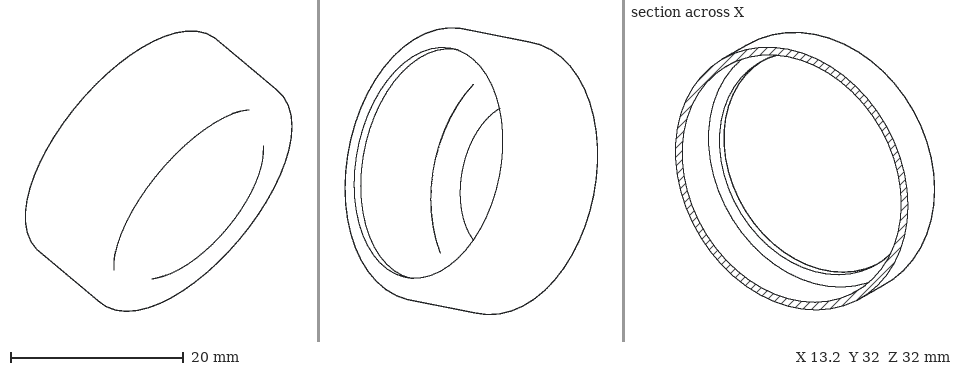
import cadquery as cq
import math

wall = 1.0
outer_radius = 16.0
cup_length = 13.2
cavity_radius = outer_radius - wall

mouth_radius = 13.5
mouth_fillet = 1.28

disc_recess = 0.13
disc_bend_center_radius = 9.4
disc_bend_inner = 1.2
disc_bend_outer = disc_bend_inner + wall
ridge_inner = 1.2
ridge_outer = ridge_inner + wall
corner_outer = 1.65
corner_inner = corner_outer - wall
corner_setback = 0.13

disc_bend = (cup_length - disc_bend_outer, disc_bend_center_radius)
corner_bend = (cup_length - corner_setback - corner_outer, outer_radius - corner_outer)


def tangent_center(first, first_distance, second, second_distance):
    """Point at the given distances from two centres, on the +X side of the line joining them."""
    dx = second[0] - first[0]
    dr = second[1] - first[1]
    span = math.hypot(dx, dr)
    along = (span**2 + first_distance**2 - second_distance**2) / (2 * span)
    across = math.sqrt(first_distance**2 - along**2)
    return (
        first[0] + (along * dx + across * dr) / span,
        first[1] + (along * dr - across * dx) / span,
    )


def point_towards(center, target, distance):
    """Point at a distance from a centre, in the direction of a target."""
    span = math.hypot(target[0] - center[0], target[1] - center[1])
    return (
        center[0] + distance * (target[0] - center[0]) / span,
        center[1] + distance * (target[1] - center[1]) / span,
    )


ridge_bend = tangent_center(
    disc_bend, disc_bend_inner + ridge_outer, corner_bend, corner_inner + ridge_outer
)


def revolved_body(start_x, body_radius, disc_bend_radius, ridge_radius, corner_radius):
    """Solid with a corrugated +X end; its surfaces are offsets of one set of bends."""
    disc_bend_tip = (disc_bend[0] + disc_bend_radius, disc_bend[1])
    disc_x = disc_bend_tip[0] - disc_recess
    disc_radius = disc_bend[1] - math.sqrt(disc_bend_radius**2 - (disc_x - disc_bend[0]) ** 2)
    corner_join = point_towards(corner_bend, ridge_bend, corner_radius)
    disc_join = point_towards(disc_bend, ridge_bend, disc_bend_radius)
    ridge_crest = (ridge_bend[0] - ridge_radius, ridge_bend[1])
    corner_tip = (corner_bend[0] + corner_radius, corner_bend[1])
    corner_start = (corner_bend[0], body_radius)
    return (
        cq.Workplane("XY")
        .moveTo(start_x, 0)
        .lineTo(start_x, body_radius)
        .lineTo(*corner_start)
        .tangentArcPoint(corner_tip, relative=False)
        .tangentArcPoint(corner_join, relative=False)
        .threePointArc(ridge_crest, disc_join)
        .tangentArcPoint(disc_bend_tip, relative=False)
        .tangentArcPoint((disc_x, disc_radius), relative=False)
        .lineTo(disc_x, 0)
        .close()
        .revolve(360, (0, 0, 0), (1, 0, 0))
    )


body = revolved_body(0, outer_radius, disc_bend_outer, ridge_inner, corner_outer)
body = body.faces("<X").edges().fillet(mouth_fillet)
cavity = revolved_body(wall, cavity_radius, disc_bend_inner, ridge_outer, corner_inner)
mouth = cq.Workplane("YZ").circle(mouth_radius).extrude(2 * wall)

result = body.cut(cavity).cut(mouth)